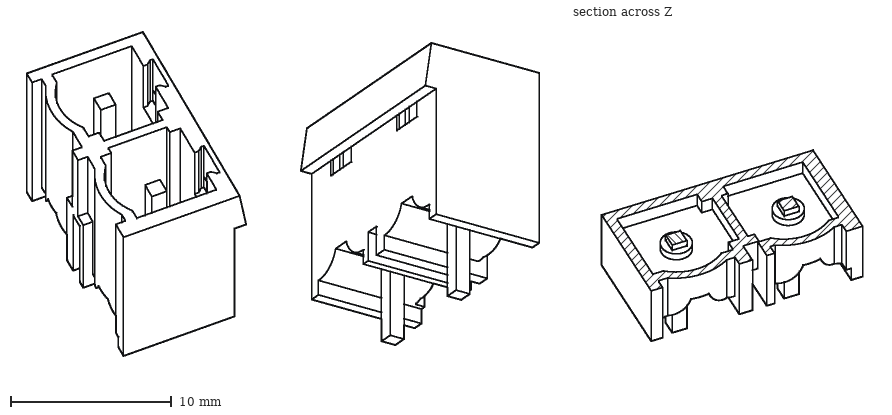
import cadquery as cq
import math


width = 14.42
height = 11.75
depth = 7.6
lip_depth = 8.4
pitch = 7.62
pin_axis_x = [width / 2 - pitch / 2, width / 2 + pitch / 2]
pin_axis_y = 3.78

lip_height = 3.07
lip_top_depth = 7.95

front_setback = 0.66
bulge_front = 0.11
bulge_width = 4.02
left_bulge_x = 3.43
right_bulge_x = 10.74
bulge_axis_x = [left_bulge_x, right_bulge_x]

left_rib_width = 0.8
right_rib_width = 1.14
middle_rib_left = 6.8
middle_rib_width = 0.84
middle_rib_shoulder = 6.2

floor_top = 3.35
cavity_front = 1.39
cavity_back = 6.84
cavity_bulge_front = 0.7
cavity_bulge_width = 3.95
side_recess_front = 2.12
side_recess_back = 6.12
left_cavity = (0.74, 6.18)
right_cavity = (7.98, 13.37)
partition_left = 6.91
partition_right = 7.54

key_floor = 7.65
key_neck_width = 1.82
key_width = 2.33
key_neck_back = 7.12
key_flare_back = 7.41

foot_height = 1.0
foot_width = left_rib_width
tunnel_width = 2 * (pin_axis_x[0] - foot_width)
tunnel_roof = 2.38
lobe_radius = 2.0
lobe_offset = 2.51

notch_left = 6.91
notch_width = 0.96
notch_top = 5.5
notch_pocket_depth = 1.4
notch_through_top = 1.98

pin_size = 1.02
pin_length = 14.04
pin_bottom = -3.2
pin_top = pin_bottom + pin_length
boss_radius = 1.0
boss_height = 0.5


def block(x_range, y_range, z_range):
    """Box between the given limits along each axis."""
    size = [high - low for low, high in (x_range, y_range, z_range)]
    return cq.Workplane("XY").box(*size, centered=False).translate((x_range[0], y_range[0], z_range[0]))


def bulge(axis_x, bulge_chord, base_y, crest_y, z_range):
    """Upright circular segment that swells forward from base_y to crest_y."""
    return (
        cq.Workplane("XY", origin=(axis_x, 0, z_range[0]))
        .moveTo(-bulge_chord / 2, base_y)
        .threePointArc((0, crest_y), (bulge_chord / 2, base_y))
        .close()
        .extrude(z_range[1] - z_range[0])
    )


def housing_shell():
    """Outer form: main block, latch lip, front bulges and ribs."""
    full_height = (0, height)
    shell = block((0, width), (front_setback, depth), full_height)
    lip = (
        cq.Workplane("YZ")
        .moveTo(front_setback, height)
        .lineTo(lip_top_depth, height)
        .lineTo(lip_depth, height - lip_height)
        .lineTo(front_setback, height - lip_height)
        .close()
        .extrude(width)
    )
    shell = shell.union(lip)
    for axis_x in bulge_axis_x:
        shell = shell.union(bulge(axis_x, bulge_width, front_setback, bulge_front, full_height))

    rib_y = (0, front_setback)
    foot_left = pin_axis_x[0] + tunnel_width / 2
    foot_right = pin_axis_x[1] - tunnel_width / 2
    ribs = [
        ((0, left_rib_width), full_height),
        ((width - right_rib_width, width), full_height),
        ((middle_rib_left, middle_rib_left + middle_rib_width), full_height),
        ((foot_left, foot_right), (0, middle_rib_shoulder)),
    ]
    for rib_x, rib_z in ribs:
        shell = shell.union(block(rib_x, rib_y, rib_z))
    return shell


def cavity(main_x, recess_x, bulge_x):
    """Pocket for one pole, with a recess into the partition and a rounded front."""
    cavity_z = (floor_top, height)
    pocket = block(main_x, (cavity_front, cavity_back), cavity_z)
    recess = block(recess_x, (side_recess_front, side_recess_back), cavity_z)
    swell = bulge(bulge_x, cavity_bulge_width, cavity_front, cavity_bulge_front, cavity_z)
    return pocket.union(recess).union(swell)


def key_slot(axis_x):
    """Dovetail slot from the cavity to the rear face, which it breaks through below the lip."""
    neck = key_neck_width / 2
    flare = key_width / 2
    return (
        cq.Workplane("XY", origin=(axis_x, 0, key_floor))
        .moveTo(-neck, cavity_back)
        .lineTo(-neck, key_neck_back)
        .lineTo(-flare, key_flare_back)
        .lineTo(-flare, depth)
        .lineTo(flare, depth)
        .lineTo(flare, key_flare_back)
        .lineTo(neck, key_neck_back)
        .lineTo(neck, cavity_back)
        .close()
        .extrude(height - key_floor)
    )


def tunnel(axis_x):
    """Space under the floor around one pin, with a rounded lobe of material left on each side."""
    lobe_centre_z = foot_height + lobe_radius
    roof_x = lobe_offset - math.sqrt(lobe_radius**2 - (lobe_centre_z - tunnel_roof) ** 2)
    side_x = tunnel_width / 2
    mid_reach = lobe_radius * math.cos(math.pi / 4)
    mid_x = lobe_offset - mid_reach
    mid_z = lobe_centre_z - mid_reach
    return (
        cq.Workplane("XZ", origin=(axis_x, 0, 0))
        .moveTo(-side_x, 0)
        .lineTo(-side_x, foot_height)
        .lineTo(-lobe_offset, foot_height)
        .threePointArc((-mid_x, mid_z), (-roof_x, tunnel_roof))
        .lineTo(roof_x, tunnel_roof)
        .threePointArc((mid_x, mid_z), (lobe_offset, foot_height))
        .lineTo(side_x, foot_height)
        .lineTo(side_x, 0)
        .close()
        .extrude(-depth)
    )


def foot_notch():
    """Front pocket in the middle foot, opening into a slot that runs through to the rear."""
    notch_x = (notch_left, notch_left + notch_width)
    pocket = block(notch_x, (0, notch_pocket_depth), (0, notch_top))
    through = block(notch_x, (0, depth), (0, notch_through_top))
    return pocket.union(through)


def make_pin(axis_x):
    """Straight square pin."""
    half = pin_size / 2
    return block(
        (axis_x - half, axis_x + half),
        (pin_axis_y - half, pin_axis_y + half),
        (pin_bottom, pin_top),
    )


def pin_boss(axis_x):
    """Round boss on the cavity floor."""
    return (
        cq.Workplane("XY", origin=(axis_x, pin_axis_y, floor_top))
        .circle(boss_radius)
        .extrude(boss_height)
    )


def make_housing(pins):
    """Complete housing with a matching hole for each pin."""
    body = housing_shell()
    body = body.cut(cavity(left_cavity, (left_cavity[0], partition_left), left_bulge_x))
    body = body.cut(cavity(right_cavity, (partition_right, right_cavity[1]), right_bulge_x))
    body = body.cut(foot_notch())
    for axis_x, pin in zip(pin_axis_x, pins):
        body = body.cut(key_slot(axis_x)).cut(tunnel(axis_x))
        body = body.union(pin_boss(axis_x)).cut(pin)
    return body


pins = [make_pin(axis_x) for axis_x in pin_axis_x]
housing = make_housing(pins)

result = cq.Compound.makeCompound([housing.val(), *[pin.val() for pin in pins]])